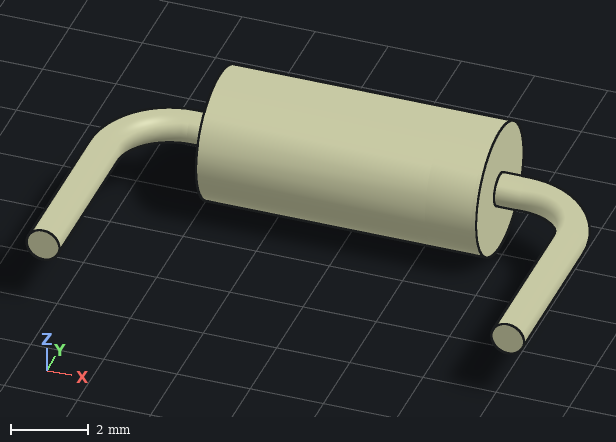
import cadquery as cq

body_diameter = 3.6
body_length = 7.66
band_length = 1.27
end_margin = 0.12

lead_diameter = 0.9
lead_pitch = 12.7
lead_reach = 6.4
bend_radius = 1.8

body_radius = body_diameter / 2
lead_radius = lead_diameter / 2
barrel_length = body_length - band_length - end_margin


def make_body():
    """Flush cylinder in three sections: barrel, polarity band and end margin."""
    section_start = -body_length / 2
    body = cq.Workplane("YZ")
    for section_length in (barrel_length, band_length, end_margin):
        section = (
            cq.Workplane("YZ", origin=(section_start, 0, 0))
            .circle(body_radius)
            .extrude(section_length)
        )
        body = body.add(section).combine(clean=False)
        section_start += section_length
    return body


def make_leads():
    """One continuous wire: through the body, bent at both ends into parallel legs."""
    leg_x = lead_pitch / 2
    bend_start = leg_x - bend_radius
    path = (
        cq.Workplane("XY")
        .moveTo(-leg_x, -lead_reach)
        .lineTo(-leg_x, -bend_radius)
        .radiusArc((-bend_start, 0), bend_radius)
        .lineTo(bend_start, 0)
        .radiusArc((leg_x, -bend_radius), bend_radius)
        .lineTo(leg_x, -lead_reach)
    )
    profile = cq.Workplane("XZ", origin=(-leg_x, -lead_reach, 0)).circle(lead_radius)
    return profile.sweep(path)


result = make_body().union(make_leads(), clean=False)